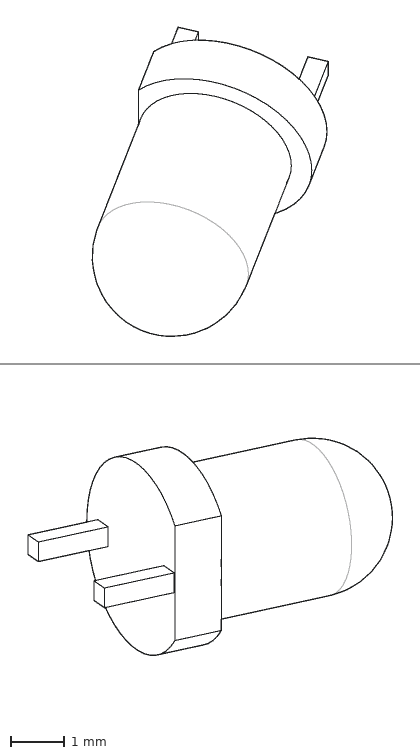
import cadquery as cq

total_length = 6.8
lens_diameter = 3.0
flange_diameter = 3.8
flange_thickness = 1.0
lead_length = 1.5
lead_width = 0.4
lead_pitch = 2.54

lens_radius = lens_diameter / 2
flange_radius = flange_diameter / 2
barrel_length = total_length - lead_length - flange_thickness - lens_radius

flange_front_y = -flange_thickness
dome_base_y = flange_front_y - barrel_length
dome_tip_y = dome_base_y - lens_radius


def make_lens():
    """Barrel and hemispherical dome, revolved about Y from a half profile."""
    return (
        cq.Workplane("XY")
        .moveTo(0, 0)
        .lineTo(lens_radius, 0)
        .lineTo(lens_radius, dome_base_y)
        .radiusArc((0, dome_tip_y), lens_radius)
        .close()
        .revolve(360, (0, 0), (0, 1))
    )


def make_flange():
    """Disc cut by a flat on -X that is tangent to the lens."""
    disc = cq.Workplane("XZ").circle(flange_radius).extrude(flange_thickness)
    keep = cq.Workplane("XY").box(
        lens_radius + flange_radius, flange_thickness, flange_diameter, centered=(False, False, True)
    ).translate((-lens_radius, flange_front_y, 0))
    return disc.intersect(keep)


def make_leads():
    """Two square leads standing on the rear face of the flange."""
    lead_centers = [(-lead_pitch / 2, 0), (lead_pitch / 2, 0)]
    return (
        cq.Workplane("XZ")
        .pushPoints(lead_centers)
        .rect(lead_width, lead_width)
        .extrude(-lead_length)
    )


result = make_flange().union(make_lens()).union(make_leads())